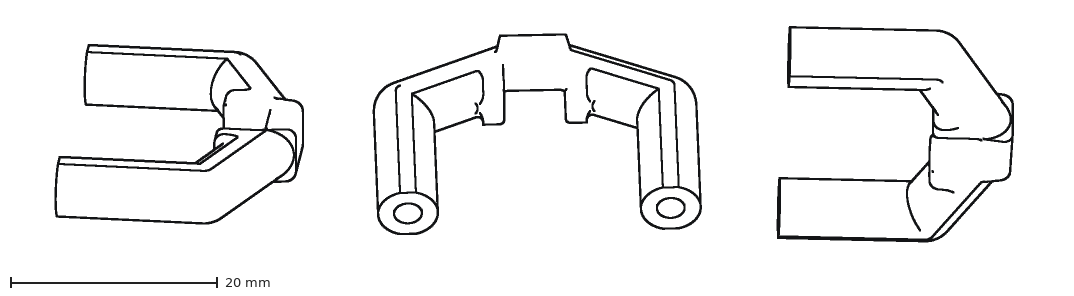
import cadquery as cq
import math

tilt = 25.0
tube_diameter = 5.8
part_height = 5.6
leg_half_spacing = 12.7
leg_length = 14.1
bore_diameter = 2.7

notch_half_width = 2.95
notch_corner_radius = 0.5
bridge_outer_y = 21.95
bridge_thickness = 3.15
bridge_inner_y = bridge_outer_y - bridge_thickness
bridge_outer_half_length = 3.07
bridge_inner_half_length = 3.8
post_tip_y = 14.25
post_top_y = 18.27
post_outer_x = 5.0
post_blend_radius = 0.5
post_tip_corner_radius = 0.17
edge_radius = 1.0

tube_radius = tube_diameter / 2
arm_slope = math.tan(math.radians(tilt))
knee = (-leg_half_spacing, leg_length, 0)
arm_length = leg_half_spacing / math.cos(math.radians(tilt))
envelope_size = 68.95
pick_margin = 0.05


def slab(x_min, x_max, y_min, y_max):
    """Box of the part's height, centred on Z = 0."""
    return (
        cq.Workplane("XY")
        .box(x_max - x_min, y_max - y_min, part_height)
        .translate(((x_min + x_max) / 2, (y_min + y_max) / 2, 0))
    )


def cylinder(radius, length, start, direction):
    return cq.Workplane(
        cq.Solid.makeCylinder(radius, length, cq.Vector(*start), cq.Vector(*direction))
    )


def left_arm():
    """Tube from the knee to the end of the bridge."""
    arm = cylinder(tube_radius, arm_length, knee, (1, arm_slope, 0))
    return arm.intersect(slab(-envelope_size, -bridge_outer_half_length, 0, envelope_size))


def left_tube():
    """Leg, ball-shaped knee and arm, with the arm stopping at the bridge."""
    leg = cylinder(tube_radius, leg_length, (-leg_half_spacing, 0, 0), (0, 1, 0))
    ball = cq.Workplane("XY").sphere(tube_radius).translate(knee)
    return leg.union(ball).union(left_arm())


def left_post():
    """Block with a rounded tip, blended into the arm on its outer side."""
    block = cq.Workplane("XY").box(
        post_outer_x - notch_half_width, tube_diameter, 2 * tube_diameter
    ).translate((-(post_outer_x + notch_half_width) / 2, post_top_y - tube_diameter / 2, 0))
    outer_side = cq.selectors.BoxSelector(
        (-post_outer_x - pick_margin, 0, -tube_diameter),
        (-post_outer_x + pick_margin, post_top_y, tube_diameter),
        boundingbox=True,
    )
    blended = left_arm().union(block)
    blended = blended.edges(outer_side).edges("%ELLIPSE").fillet(post_blend_radius)

    limits = slab(-post_outer_x - 2 * post_blend_radius, -notch_half_width, post_tip_y, post_top_y)
    limits = limits.edges("|Z and >X and <Y").fillet(post_tip_corner_radius)
    limits = limits.edges("|X and <Y").fillet(edge_radius)
    return blended.intersect(limits)


def bridge():
    """Bar between the arms, with slanted ends and rounded outer edges."""
    bar = (
        cq.Workplane("XY")
        .workplane(offset=-part_height / 2)
        .polyline([
            (-bridge_inner_half_length, post_top_y),
            (bridge_inner_half_length, post_top_y),
            (bridge_outer_half_length, bridge_outer_y),
            (-bridge_outer_half_length, bridge_outer_y),
        ])
        .close()
        .extrude(part_height)
    )
    return bar.faces(">Y").edges("|X").fillet(edge_radius)


def envelope():
    """Flat slab whose notch has rounded rims; it trims the top, bottom and notch."""
    plate = slab(-envelope_size, envelope_size, 0, envelope_size)
    notch = slab(-notch_half_width, notch_half_width, -envelope_size, bridge_inner_y)
    notch = notch.edges("|Z and >Y").fillet(notch_corner_radius)
    notched = plate.cut(notch)
    rim_box = cq.selectors.BoxSelector(
        (-notch_half_width - pick_margin, 0, -part_height),
        (notch_half_width + pick_margin, bridge_inner_y + pick_margin, part_height),
    )
    return notched.edges(rim_box).edges("#Z").fillet(edge_radius)


def left_bore():
    return cylinder(bore_diameter / 2, leg_length, (-leg_half_spacing, 0, 0), (0, 1, 0))


def both_sides(body):
    return body.union(body.mirror("YZ"))


body = both_sides(left_tube().union(left_post())).union(bridge())
body = body.intersect(envelope()).cut(both_sides(left_bore()))
result = body.rotate((0, 0, 0), (0, 0, 1), -tilt)